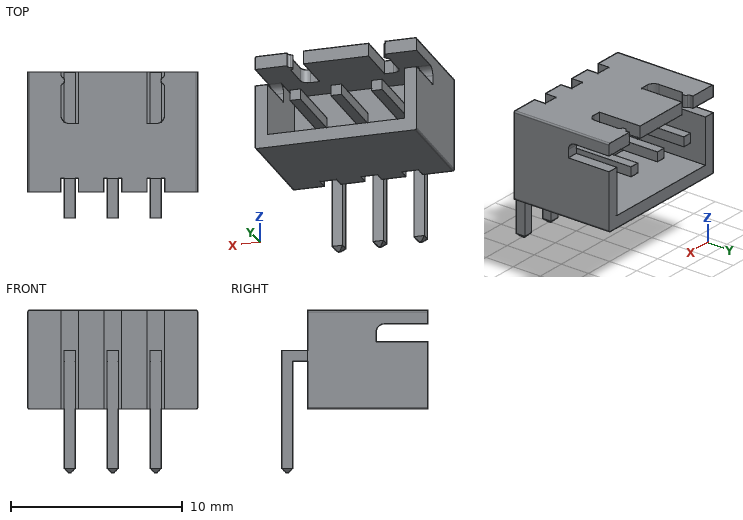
import cadquery as cq


LENGTH = 9.9
DEPTH = 7.0
HEIGHT = 5.75
EDGE_RADIUS = 0.1

SIDE_WALL = 0.75
TOP_WALL = 0.8
BOTTOM_WALL = TOP_WALL
CAVITY_DEPTH = 5.0

SLOT_WIDTH = 1.02
SLOT_DEPTH = 3.0
SLOT_RADIUS = 0.48

BUMP_HEIGHT = 0.22
BUMP_HALF_LENGTH = 0.36
BUMP_SETBACK = 0.5

PIN_COUNT = 3
PIN_PITCH = 2.5
PIN_SIZE = 0.64
PIN_TOP = 3.42
PIN_REACH = 1.5
PIN_DROP = 3.71
PIN_SETBACK = 0.03
TIP_CHAMFER = 0.26
NOTCH_WIDTH = SLOT_WIDTH
NOTCH_DEPTH = 0.8

pin_places = [(i - (PIN_COUNT - 1) / 2) * PIN_PITCH for i in range(PIN_COUNT)]
slot_centre = max(pin_places)


def block(x_range, y_range, z_range):
    """Axis-aligned box between the given limits."""
    (x0, x1), (y0, y1), (z0, z1) = x_range, y_range, z_range
    return cq.Workplane("XY").box(x1 - x0, y1 - y0, z1 - z0, centered=False).translate((x0, y0, z0))


def make_shroud():
    """Rounded block with the mating cavity and the pin notches removed."""
    body = block((-LENGTH / 2, LENGTH / 2), (0, DEPTH), (0, HEIGHT)).edges("|Y").fillet(EDGE_RADIUS)
    inner_x = LENGTH / 2 - SIDE_WALL
    body = body.cut(
        block((-inner_x, inner_x), (DEPTH - CAVITY_DEPTH, DEPTH), (BOTTOM_WALL, HEIGHT - TOP_WALL))
    )
    for x in pin_places:
        body = body.cut(block((x - NOTCH_WIDTH / 2, x + NOTCH_WIDTH / 2), (0, NOTCH_DEPTH), (0, HEIGHT)))
    return body


def make_side_slots():
    """One slot through both side walls, just under the cavity ceiling."""
    slot_top = HEIGHT - TOP_WALL
    slot = block(
        (-LENGTH / 2, LENGTH / 2), (DEPTH - SLOT_DEPTH, DEPTH), (slot_top - SLOT_WIDTH, slot_top)
    )
    return slot.edges("|X and <Y and >Z").fillet(SLOT_RADIUS)


def make_top_slot():
    """Slot through the top wall on the +X side, narrowed near the mouth by the latch bump."""
    inner = slot_centre - SLOT_WIDTH / 2
    outer = slot_centre + SLOT_WIDTH / 2
    back = DEPTH - SLOT_DEPTH
    crest_y = DEPTH - BUMP_SETBACK
    flank_x = outer - BUMP_HEIGHT / 2

    return (
        cq.Workplane("XY", origin=(0, 0, HEIGHT - TOP_WALL))
        .moveTo(inner, DEPTH)
        .lineTo(inner, back)
        .lineTo(outer - SLOT_RADIUS, back)
        .tangentArcPoint((outer, back + SLOT_RADIUS), relative=False)
        .lineTo(outer, crest_y - BUMP_HALF_LENGTH)
        .tangentArcPoint((flank_x, crest_y - BUMP_HALF_LENGTH / 2), relative=False)
        .tangentArcPoint((flank_x, crest_y + BUMP_HALF_LENGTH / 2), relative=False)
        .tangentArcPoint((outer, crest_y + BUMP_HALF_LENGTH), relative=False)
        .lineTo(outer, DEPTH)
        .close()
        .extrude(TOP_WALL)
    )


def make_pin(x):
    """Square pin from just inside the cavity mouth out through the back, bent down to a chamfered tip."""
    x_range = (x - PIN_SIZE / 2, x + PIN_SIZE / 2)
    leg = block(x_range, (-PIN_REACH, PIN_SIZE - PIN_REACH), (-PIN_DROP, PIN_TOP))
    leg = leg.faces("<Z").chamfer(TIP_CHAMFER)
    arm = block(x_range, (-PIN_REACH, DEPTH - PIN_SETBACK), (PIN_TOP - PIN_SIZE, PIN_TOP))
    return leg.union(arm)


top_slot = make_top_slot()
result = make_shroud().cut(make_side_slots()).cut(top_slot).cut(top_slot.mirror("YZ"))
for pin_x in pin_places:
    result = result.union(make_pin(pin_x))